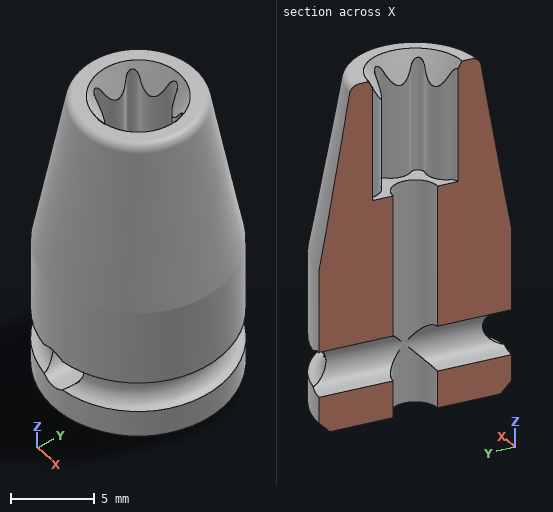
import cadquery as cq
import math

height = 23.0
body_radius = 6.498
foot_chamfer = 0.74
cone_base_z = 11.05
cone_top_radius = 4.35
rim_fillet = 0.67

groove_z = 4.0
groove_half_width = 1.2
groove_depth = 1.01
pin_hole_diameter = 3.0

lobe_count = 6
lobe_tip_reach = 2.85
lobe_tip_radius = 0.44
valley_reach = 2.05
socket_depth = 8.05
mouth_radius = 3.13
mouth_half_angle = math.radians(30)
bore_diameter = 3.0


def polar(radius, angle):
    return (radius * math.cos(angle), radius * math.sin(angle))


def make_body():
    """Turned body: chamfered foot, grooved cylinder and tapered nose."""
    profile = (
        cq.Workplane("XZ")
        .lineTo(body_radius - foot_chamfer, 0)
        .lineTo(body_radius, foot_chamfer)
        .lineTo(body_radius, groove_z - groove_half_width)
        .threePointArc(
            (body_radius - groove_depth, groove_z),
            (body_radius, groove_z + groove_half_width),
        )
        .lineTo(body_radius, cone_base_z)
        .lineTo(cone_top_radius, height)
        .lineTo(0, height)
        .close()
    )
    return profile.revolve().faces(">Z").edges().fillet(rim_fillet)


def make_socket():
    """Star-shaped prism whose convex tips and concave valleys meet tangentially."""
    half_pitch = math.pi / lobe_count
    tip_center = lobe_tip_reach - lobe_tip_radius
    tip_projection = tip_center * math.cos(half_pitch)

    valley_radius = (
        tip_center**2 + valley_reach**2 - 2 * valley_reach * tip_projection - lobe_tip_radius**2
    ) / (2 * (lobe_tip_radius + tip_projection - valley_reach))
    valley_center = valley_reach + valley_radius

    tip_x, tip_y = polar(tip_center, half_pitch)
    share = valley_radius / (valley_radius + lobe_tip_radius)
    joint_x = valley_center + share * (tip_x - valley_center)
    joint_y = share * tip_y
    joint_radius = math.hypot(joint_x, joint_y)
    joint_angle = math.atan2(joint_y, joint_x)

    outline = cq.Workplane("XY", origin=(0, 0, height - socket_depth))
    outline = outline.moveTo(*polar(joint_radius, -joint_angle))
    for index in range(lobe_count):
        valley = 2 * half_pitch * index
        tip = valley + half_pitch
        next_valley = tip + half_pitch
        outline = outline.threePointArc(
            polar(valley_reach, valley), polar(joint_radius, valley + joint_angle)
        )
        outline = outline.threePointArc(
            polar(lobe_tip_reach, tip), polar(joint_radius, next_valley - joint_angle)
        )
    return outline.close().extrude(socket_depth)


def make_mouth():
    """Conical lead-in that tapers to a point on the axis below the top face."""
    mouth_depth = mouth_radius / math.tan(mouth_half_angle)
    return (
        cq.Workplane("XZ")
        .moveTo(0, height - mouth_depth)
        .lineTo(mouth_radius, height)
        .lineTo(0, height)
        .close()
        .revolve()
    )


bore = cq.Workplane("XY").circle(bore_diameter / 2).extrude(height)
pin_hole = (
    cq.Workplane("XZ")
    .center(0, groove_z)
    .circle(pin_hole_diameter / 2)
    .extrude(body_radius, both=True)
)

result = make_body().cut(make_socket()).cut(make_mouth()).cut(bore).cut(pin_hole)